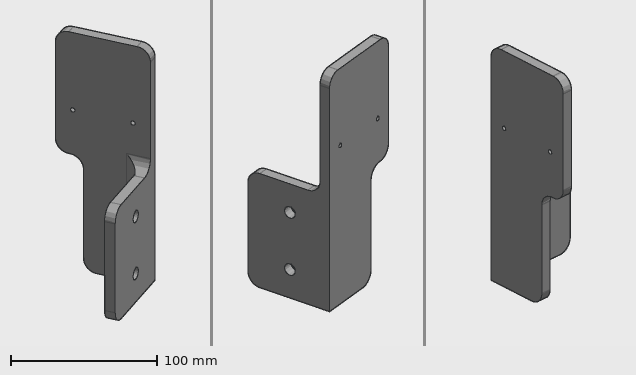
import cadquery as cq

width = 71.0
height = 186.0
depth = 68.0
thickness = 8.0
radius = 10.0

lower_width = 50.0
step_x = width - lower_width
step_z = 90.0
small_hole_diameter = 3.2
small_hole_spacing = 45.0
small_hole_edge = 13.0
small_hole_z = 125.0

flange_height = 90.0
flange_end_y = thickness - depth
flange_inner_x = width - thickness
flange_hole_diameter = 8.8
flange_hole_end_distance = 35.0
flange_hole_y = flange_end_y + flange_hole_end_distance
flange_hole_spacing = 45.0


def make_back_plate():
    """Stepped plate with its front face on Y = 0 and its back on Y = thickness."""
    outline = [
        (step_x, 0),
        (width, 0),
        (width, height),
        (0, height),
        (0, step_z),
        (step_x, step_z),
    ]
    plate = cq.Workplane("XZ").polyline(outline).close().extrude(-thickness)
    left_corners = plate.edges("(|Y) and (not >X)")
    plate = left_corners.fillet(radius)
    top_right_corner = plate.edges("(|Y) and (>X)").edges(">Z")
    return top_right_corner.fillet(radius)


def make_flange():
    """Flange whose root flares into the plate; the two flares meet in a mitre."""
    plan = (
        cq.Workplane("XY")
        .moveTo(width, 0)
        .lineTo(width, flange_end_y)
        .lineTo(flange_inner_x, flange_end_y)
        .lineTo(flange_inner_x, -radius)
        .radiusArc((flange_inner_x - radius, 0), -radius)
        .close()
        .extrude(flange_height + radius)
    )
    mid = radius * (1 - 0.5**0.5)
    end_y = flange_end_y
    top_z = flange_height
    side = (
        cq.Workplane("YZ")
        .moveTo(0, 0)
        .lineTo(end_y + radius, 0)
        .threePointArc((end_y + mid, mid), (end_y, radius))
        .lineTo(end_y, top_z - radius)
        .threePointArc((end_y + mid, top_z - mid), (end_y + radius, top_z))
        .lineTo(-radius, top_z)
        .threePointArc((-mid, top_z + mid), (0, top_z + radius))
        .close()
        .extrude(width)
    )
    return plan.intersect(side)


def make_plate_holes():
    """Pair of small holes through the plate along Y."""
    near_x = width - small_hole_edge
    points = [(near_x - small_hole_spacing, small_hole_z), (near_x, small_hole_z)]
    return cq.Workplane("XZ").pushPoints(points).circle(small_hole_diameter / 2).extrude(-thickness)


def make_flange_holes():
    """Pair of holes through the flange along X, centred on its height."""
    middle_z = flange_height / 2
    half_spacing = flange_hole_spacing / 2
    points = [(flange_hole_y, middle_z - half_spacing), (flange_hole_y, middle_z + half_spacing)]
    plane = cq.Workplane("YZ", origin=(flange_inner_x, 0, 0))
    return plane.pushPoints(points).circle(flange_hole_diameter / 2).extrude(thickness)


result = make_back_plate().union(make_flange())
result = result.cut(make_plate_holes()).cut(make_flange_holes())